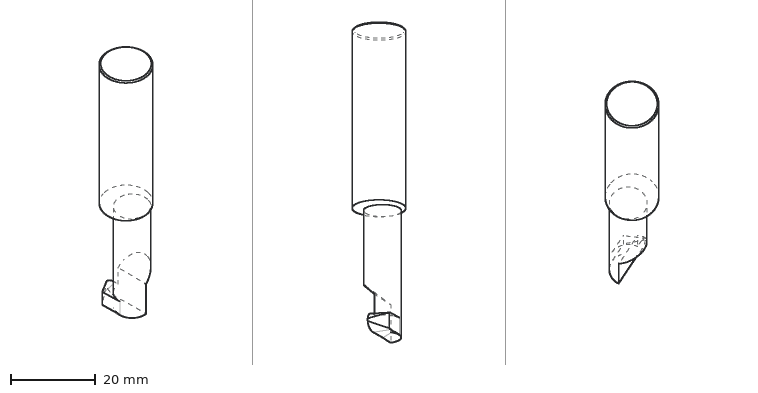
import cadquery as cq

total_length = 76.1
shank_diameter = 12.7
shank_chamfer = 0.4
neck_diameter = 8.9
neck_length = 31.8

flat_top = 9.75
runout_top = 13.7

head_height = 4.5
nose_length = 2.9
end_slope_rise = 0.2
front_nose_length = 1.0
front_nose_overhang = 0.6
front_relief = 0.15
side_face_inset = 2.75

shank_radius = shank_diameter / 2
neck_radius = neck_diameter / 2
neck_axis_x = shank_radius - neck_radius
tip_x = -shank_radius
side_face_end_x = tip_x + side_face_inset
cut_margin = 0.75


def make_shank():
    shank = (
        cq.Workplane("XY")
        .workplane(offset=neck_length)
        .circle(shank_radius)
        .extrude(total_length - neck_length)
    )
    return shank.faces(">Z").chamfer(shank_chamfer)


def make_neck():
    neck = (
        cq.Workplane("XY", origin=(neck_axis_x, 0, end_slope_rise))
        .circle(neck_radius)
        .extrude(neck_length - end_slope_rise)
    )
    flat_cut = (
        cq.Workplane("YZ")
        .moveTo(0, -cut_margin)
        .lineTo(0, flat_top)
        .lineTo(neck_radius, runout_top)
        .lineTo(neck_radius + cut_margin, runout_top)
        .lineTo(neck_radius + cut_margin, -cut_margin)
        .close()
        .extrude(shank_diameter, both=True)
    )
    return neck.cut(flat_cut)


def nose_outline(workplane, tip, length, relief):
    """Head profile with an elliptical nose, shrunk vertically by the relief at both ends."""
    nose_start = tip + length
    top = head_height - relief
    bottom = relief
    return (
        workplane.moveTo(nose_start, bottom)
        .lineTo(neck_axis_x, bottom + end_slope_rise)
        .lineTo(neck_axis_x, top + end_slope_rise)
        .lineTo(nose_start, top)
        .ellipseArc(length, (top - bottom) / 2, 90, 270, startAtCurrent=True)
        .close()
    )


def make_head():
    rake_outline = nose_outline(cq.Workplane("XZ"), tip_x, nose_length, 0)
    front_plane = rake_outline.workplane(offset=neck_radius)
    front_tip_x = side_face_end_x - front_nose_overhang
    blank = nose_outline(front_plane, front_tip_x, front_nose_length, front_relief).loft(ruled=True)
    plan = (
        cq.Workplane("XY")
        .moveTo(tip_x, 0)
        .lineTo(side_face_end_x, -neck_radius)
        .lineTo(neck_axis_x, -neck_radius)
        .lineTo(neck_axis_x, 0)
        .close()
        .extrude(head_height + end_slope_rise)
    )
    return blank.intersect(plan)


result = make_shank().union(make_neck()).union(make_head())